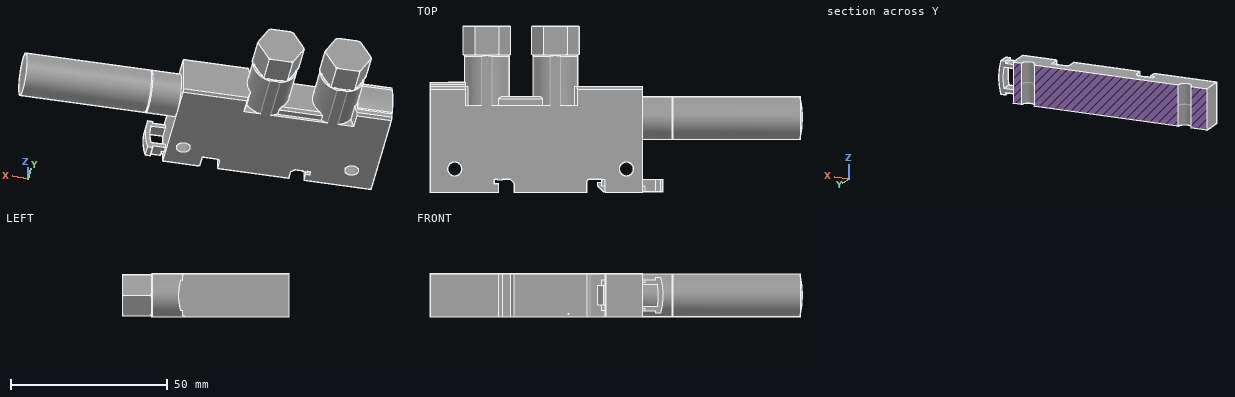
import cadquery as cq
import math

thickness = 14.0
half_thick = thickness / 2
body_length = 68.1
body_depth = 34.1
edge_bevel_y = 1.0
edge_bevel_z = 0.6

rib_half_width = 4.9
rib_edge_height = 0.6
rib_crown_height = 1.3

recess_start = 11.3
recess_end = 47.2
recess_floor = 28.0
recess_wall_lean = 2.1

bar_start = 21.9
bar_end = 36.1
bar_top = 30.9
bar_half_width = 6.2
bar_bevel = 0.8

fitting_first_x = 18.2
fitting_pitch = 21.95
fitting_count = 2
fitting_diameter = 14.4
fitting_end = 44.1
fitting_bevel = 0.4
nut_sides = 6
nut_across_flats = 13.25
nut_end = 53.4
nut_bevel = 0.3

silencer_y = 23.9
silencer_diameter = 13.8
silencer_shoulder = 118.6
silencer_tip = 119.3
dome_diameter = 12.8
groove_x = 77.5
groove_width = 0.4
groove_depth = 0.1

hole_diameter = 4.4
hole_y = 7.6
hole_first_x = 7.9
hole_pitch = 55.0
hole_count = 2

slot_depth = 4.3
hook_slot_start = 22.0
hook_slot_end = 26.9
hook_slot_bevel = 1.2
undercut_start = 20.6
undercut_floor = 2.9
slot_pad_start = 21.6
slot_pad_end = 23.2
slot_pad_height = 0.3
latch_slot_start = 50.2
latch_slot_end = 56.0
latch_slot_bevel = 0.4
latch_slot_fillet = 1.0

latch_front = 0.3
latch_back = slot_depth
hook_tip_x = 53.6
hook_half_width = 3.1
hook_back = 3.3
hook_nose = 2.2
hook_root_x = 55.5
shoulder_x = 55.0
shoulder_half_width = 4.9
arm_outer = 4.95
arm_inner = 3.55
window_corner_x = 72.8
window_crown_x = 73.1
head_start = 72.2
head_corner_x = 73.9
head_crown_x = 74.65
head_half_width = 5.7
arm_step_x = 68.9
arm_step_back = 2.2
arm_step_inner = 4.2

overlap = 1.0


def box(x_range, y_range, z_range):
    """Box given by its limits along each axis."""
    size = [high - low for low, high in (x_range, y_range, z_range)]
    corner = (x_range[0], y_range[0], z_range[0])
    return cq.Workplane("XY").box(*size, centered=False).translate(corner)


def through_z(outline):
    """Prism of an XY outline through the full thickness."""
    return cq.Workplane("XY").polyline(outline).close().extrude(half_thick, both=True)


def along_y(sketch, start, end):
    """Prism of a closed XZ sketch between two Y positions."""
    return sketch.extrude(start - end).translate((0, start, 0))


def make_end_rib():
    """Rib along X with an arched crown."""
    edge = body_depth + rib_edge_height
    crown = body_depth + rib_crown_height
    return (
        cq.Workplane("YZ")
        .moveTo(recess_floor, -rib_half_width)
        .lineTo(edge, -rib_half_width)
        .threePointArc((crown, 0), (edge, rib_half_width))
        .lineTo(recess_floor, rib_half_width)
        .close()
        .extrude(recess_start)
    )


def make_block():
    profile = [
        (0, -half_thick),
        (body_depth - edge_bevel_y, -half_thick),
        (body_depth, -half_thick + edge_bevel_z),
        (body_depth, half_thick - edge_bevel_z),
        (body_depth - edge_bevel_y, half_thick),
        (0, half_thick),
    ]
    block = cq.Workplane("YZ").polyline(profile).close().extrude(body_length)
    return block.union(make_end_rib())


def make_recess():
    outline = [
        (recess_start, half_thick),
        (recess_end, half_thick),
        (recess_end - recess_wall_lean, 0),
        (recess_end, -half_thick),
        (recess_start, -half_thick),
        (recess_start + recess_wall_lean, 0),
    ]
    sketch = cq.Workplane("XZ").polyline(outline).close()
    return along_y(sketch, recess_floor, nut_end)


def make_recess_bar():
    """Low bar between the fittings with all its top edges bevelled."""
    bar = box((bar_start, bar_end), (recess_floor - overlap, bar_top), (-bar_half_width, bar_half_width))
    return bar.faces(">Y").chamfer(bar_bevel)


def make_fitting(x):
    """Round barrel flattened to the body thickness, with a hexagon nut on its end."""
    barrel = along_y(cq.Workplane("XZ").circle(fitting_diameter / 2), recess_floor - overlap, fitting_end)
    barrel = barrel.faces(">Y").chamfer(fitting_bevel)
    flats = box((-fitting_diameter, fitting_diameter), (0, fitting_end), (-half_thick, half_thick))
    barrel = barrel.intersect(flats)

    across_corners = nut_across_flats / math.cos(math.pi / nut_sides)
    nut = along_y(cq.Workplane("XZ").polygon(nut_sides, across_corners), fitting_end, nut_end)
    turned = along_y(cq.Workplane("XZ").circle(across_corners / 2), fitting_end, nut_end)
    nut = nut.intersect(turned.faces("<Y or >Y").chamfer(nut_bevel))
    return barrel.union(nut).translate((x, 0, 0))


def make_silencer():
    """Turned body along X with a shallow ring groove and a domed end."""
    radius = silencer_diameter / 2
    groove_radius = radius - groove_depth
    dome_radius = dome_diameter / 2
    dome_rise = silencer_tip - silencer_shoulder
    sphere_radius = (dome_radius**2 + dome_rise**2) / (2 * dome_rise)
    mid_radius = dome_radius / 2
    mid_x = silencer_tip - sphere_radius + math.sqrt(sphere_radius**2 - mid_radius**2)
    return (
        cq.Workplane("XY")
        .moveTo(body_length - overlap, 0)
        .lineTo(body_length - overlap, radius)
        .lineTo(groove_x, radius)
        .lineTo(groove_x, groove_radius)
        .lineTo(groove_x + groove_width, groove_radius)
        .lineTo(groove_x + groove_width, radius)
        .lineTo(silencer_shoulder, radius)
        .lineTo(silencer_shoulder, dome_radius)
        .threePointArc((mid_x, mid_radius), (silencer_tip, 0))
        .close()
        .revolve(360, (0, 0, 0), (1, 0, 0))
        .translate((0, silencer_y, 0))
    )


def make_hook_slot():
    """Rail slot undercut on its -X side, with a small pad on its roof."""
    return through_z([
        (hook_slot_start, -overlap),
        (hook_slot_end, -overlap),
        (hook_slot_end, slot_depth - hook_slot_bevel),
        (hook_slot_end - hook_slot_bevel, slot_depth),
        (slot_pad_end, slot_depth),
        (slot_pad_end, slot_depth - slot_pad_height),
        (slot_pad_start, slot_depth - slot_pad_height),
        (slot_pad_start, slot_depth),
        (undercut_start, slot_depth),
        (undercut_start, undercut_floor),
        (hook_slot_start, undercut_floor),
    ])


def make_latch_slot():
    """Rail slot on the latch side, with a rounded inner corner and a lead-in bevel at its mouth."""
    outline = [
        (latch_slot_start, -overlap),
        (latch_slot_end + latch_slot_bevel, -overlap),
        (latch_slot_end + latch_slot_bevel, 0),
        (latch_slot_end, latch_slot_bevel),
        (latch_slot_end, slot_depth),
        (latch_slot_start, slot_depth),
    ]
    return through_z(outline).faces("<X").edges(">Y").fillet(latch_slot_fillet)


def make_latch_hook():
    """Sloped hook and its wider shoulder, reaching into the latch slot."""
    root = latch_slot_end + overlap
    outline = [
        (hook_tip_x, hook_back),
        (hook_tip_x, hook_nose),
        (hook_root_x, latch_front),
        (root, latch_front),
        (root, hook_back),
    ]
    hook = cq.Workplane("XY").polyline(outline).close().extrude(hook_half_width, both=True)
    shoulder_z = (-shoulder_half_width, shoulder_half_width)
    return hook.union(box((shoulder_x, root), (hook_nose, latch_back), shoulder_z))


def make_latch_handle():
    """Pull loop outside the block: two arms joined by a bowed head."""
    root = body_length - overlap
    loop = along_y(
        cq.Workplane("XZ")
        .moveTo(root, -arm_outer)
        .lineTo(head_start, -arm_outer)
        .lineTo(head_start, -head_half_width)
        .lineTo(head_corner_x, -head_half_width)
        .threePointArc((head_crown_x, 0), (head_corner_x, head_half_width))
        .lineTo(head_start, head_half_width)
        .lineTo(head_start, arm_outer)
        .lineTo(root, arm_outer)
        .close(),
        latch_front,
        latch_back,
    )
    window = along_y(
        cq.Workplane("XZ")
        .moveTo(root, -arm_inner)
        .lineTo(window_corner_x, -arm_inner)
        .threePointArc((window_crown_x, 0), (window_corner_x, arm_inner))
        .lineTo(root, arm_inner)
        .close(),
        latch_front,
        latch_back,
    )
    loop = loop.cut(window)
    for z_range in ((arm_step_inner, arm_outer), (-arm_outer, -arm_step_inner)):
        loop = loop.cut(box((root, arm_step_x), (latch_front, arm_step_back), z_range))
    return loop


def make_mounting_holes():
    centres = [(hole_first_x + i * hole_pitch, hole_y) for i in range(hole_count)]
    return cq.Workplane("XY").pushPoints(centres).circle(hole_diameter / 2).extrude(half_thick, both=True)


body = make_block().cut(make_recess()).union(make_recess_bar())
for index in range(fitting_count):
    body = body.union(make_fitting(fitting_first_x + index * fitting_pitch))
body = body.union(make_silencer())
body = body.cut(make_hook_slot()).cut(make_latch_slot()).cut(make_mounting_holes())
result = body.union(make_latch_hook()).union(make_latch_handle())